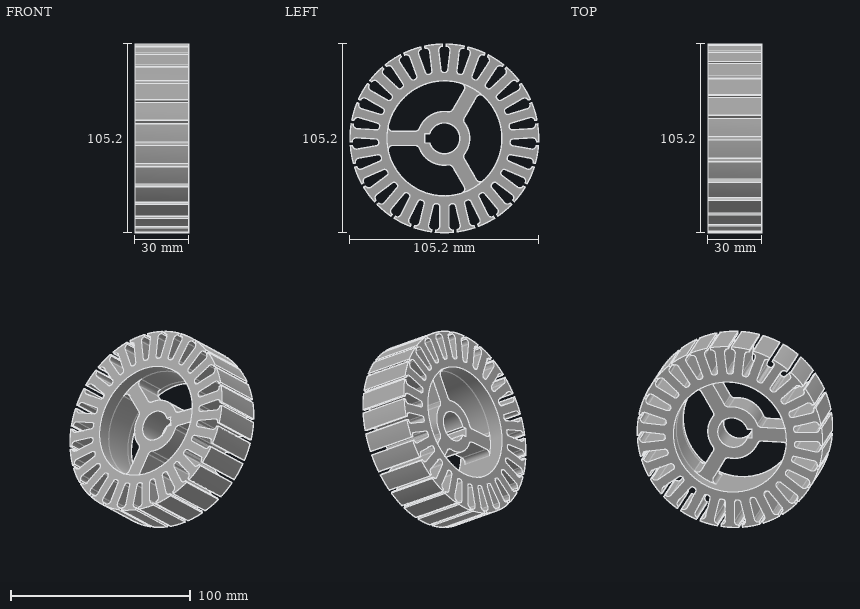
import cadquery as cq
import math

outer_radius = 52.6
length = 30.0

slot_count = 27
slot_pitch = 360.0 / slot_count
tooth_width = 5.3
slot_bottom_radius = 36.7
slot_top_radius = 51.2
slot_bottom_fillet = 1.5
slot_top_fillet = 2.1
slot_mouth_width = 2.0
first_slot_angle = 90.0

ring_bore_radius = 32.0
hub_setback = 3.5
hub_length = 18.0
hub_end = hub_setback + hub_length
hub_radius = 15.0
thin_side_hub_radius = 14.2
spoke_count = 3
spoke_width = 8.0
window_fillet = 2.5

shaft_radius = 8.5
key_width = 4.9
key_reach = 10.8


def plane_at(x):
    """Workplane facing +X; its local axes are Y and Z."""
    return cq.Workplane("YZ", origin=(x, 0, 0))


def turned(shape, angle):
    """The shape turned about the X axis, from +Y towards +Z."""
    return shape.rotate((0, 0, 0), (1, 0, 0), angle)


def slot_half_width(radius):
    """Half the slot width that leaves parallel-sided teeth."""
    half_pitch = math.radians(slot_pitch / 2)
    return radius * math.tan(half_pitch) - tooth_width / 2 / math.cos(half_pitch)


def winding_slot():
    """One tapered slot with its narrow mouth, lying along +Y."""
    bottom = slot_half_width(slot_bottom_radius)
    top = slot_half_width(slot_top_radius)
    pocket = (
        plane_at(0)
        .polyline([
            (slot_bottom_radius, -bottom),
            (slot_top_radius, -top),
            (slot_top_radius, top),
            (slot_bottom_radius, bottom),
        ])
        .close()
        .extrude(length)
    )
    pocket = pocket.faces("<Y").edges("|X").fillet(slot_bottom_fillet)
    pocket = pocket.faces(">Y").edges("|X").fillet(slot_top_fillet)

    mouth_length = 2 * (outer_radius - slot_top_radius) + 2 * slot_top_fillet
    mouth = (
        plane_at(0)
        .center(outer_radius, 0)
        .rect(mouth_length, slot_mouth_width)
        .extrude(length)
    )
    return pocket.union(mouth)


def spoke_window(inner_radius):
    """One rounded opening between two spokes, centred on +Y."""
    ring = (
        plane_at(hub_setback)
        .circle(ring_bore_radius)
        .circle(inner_radius)
        .extrude(hub_length)
    )
    half_pitch = math.radians(180.0 / spoke_count)
    apex = spoke_width / 2 / math.sin(half_pitch)
    reach = 2 * ring_bore_radius
    spread = reach * math.tan(half_pitch)
    wedge = (
        plane_at(hub_setback)
        .polyline([(apex, 0), (apex + reach, -spread), (apex + reach, spread)])
        .close()
        .extrude(hub_length)
    )
    return ring.intersect(wedge).edges("|X").fillet(window_fillet)


body = plane_at(0).circle(outer_radius).extrude(length)

body = body.cut(plane_at(0).circle(ring_bore_radius).extrude(hub_setback))
body = body.cut(plane_at(hub_end).circle(ring_bore_radius).extrude(length - hub_end))

for index in range(spoke_count):
    window_angle = 180.0 + index * 360.0 / spoke_count
    window_inner_radius = thin_side_hub_radius if index == 0 else hub_radius
    body = body.cut(turned(spoke_window(window_inner_radius), window_angle))

body = body.cut(plane_at(0).circle(shaft_radius).extrude(length))
keyway = plane_at(0).center(key_reach / 2, 0).rect(key_reach, key_width).extrude(length)
body = body.cut(keyway)

slot = winding_slot()
for index in range(slot_count):
    body = body.cut(turned(slot, first_slot_angle + index * slot_pitch))

result = body